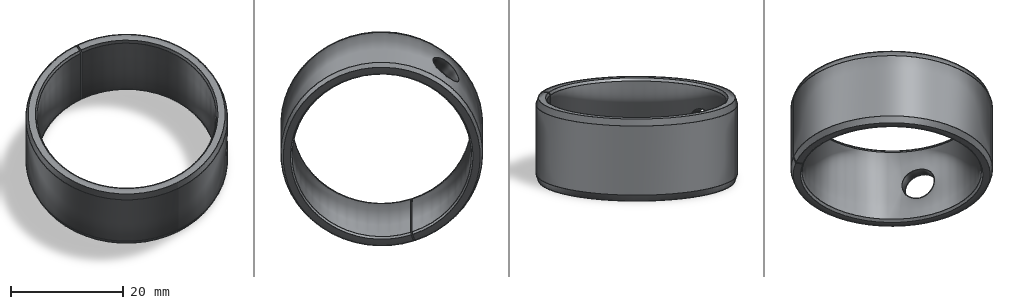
import cadquery as cq

outer_diameter = 36.0
inner_diameter = 32.0
height = 15.0
outer_chamfer_height = 1.2
outer_chamfer_depth = 0.45
inner_chamfer_height = 0.5
inner_chamfer_depth = 0.3
slit_width = 0.3
slit_center_y = 0.15
hole_diameter = 6.0
hole_angle = 59.0

outer_radius = outer_diameter / 2
inner_radius = inner_diameter / 2
top = height / 2


def ring():
    """Revolve the wall section, chamfered at all four rims, about Z."""
    section = [
        (inner_radius + inner_chamfer_depth, -top),
        (outer_radius - outer_chamfer_depth, -top),
        (outer_radius, -top + outer_chamfer_height),
        (outer_radius, top - outer_chamfer_height),
        (outer_radius - outer_chamfer_depth, top),
        (inner_radius + inner_chamfer_depth, top),
        (inner_radius, top - inner_chamfer_height),
        (inner_radius, -top + inner_chamfer_height),
    ]
    return cq.Workplane("XZ").polyline(section).close().revolve(360, (0, 0), (0, 1))


def slit():
    """Narrow block that splits the wall on the -X side."""
    return (
        cq.Workplane("XY")
        .box(outer_radius, slit_width, height, centered=(False, True, True))
        .translate((-outer_radius, slit_center_y, 0))
    )


def radial_hole():
    """Cylinder from the axis outward through one side of the wall at mid-height."""
    return (
        cq.Workplane("YZ")
        .circle(hole_diameter / 2)
        .extrude(outer_diameter)
        .rotate((0, 0, 0), (0, 0, 1), hole_angle)
    )


result = ring().cut(slit()).cut(radial_hole())